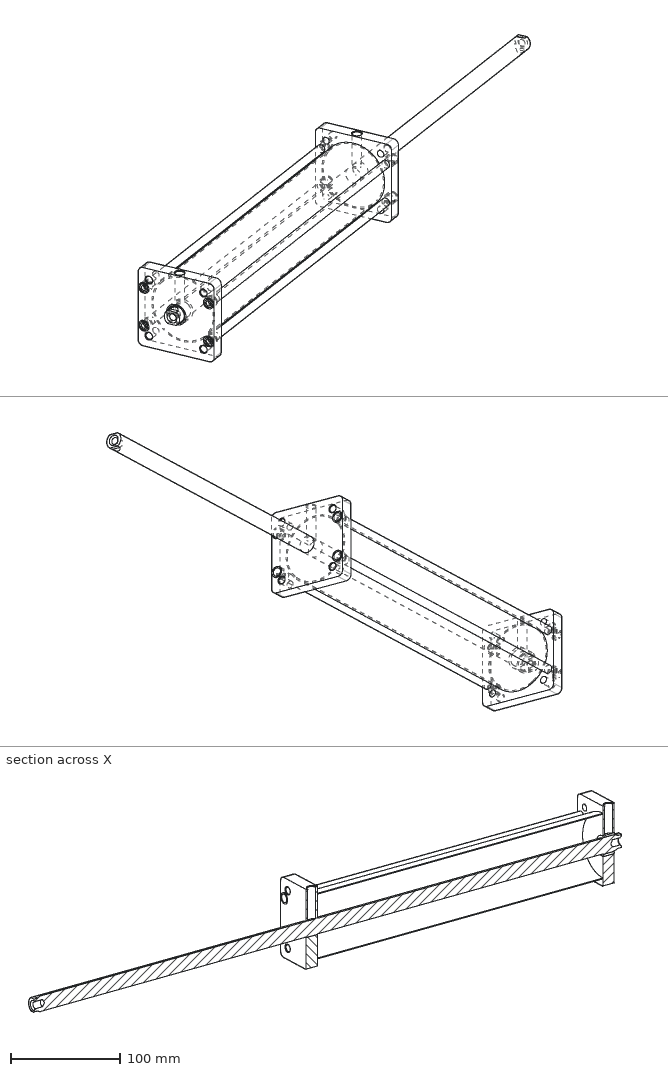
import cadquery as cq
import math


total_length = 665.0
front_stub = 8.0
plate_thickness = 13.0
barrel_length = 322.5

plate_side = 80.0
plate_corner_radius = 5.0
mount_hole_diameter = 6.5
mount_hole_mouth = 8.0
mount_hole_offset = 28.5
port_diameter = 8.5
port_mouth = 10.0

barrel_diameter = 66.0
bore_diameter = 63.0

tie_rod_diameter = 8.0
tie_rod_x = 34.0
tie_rod_z = 19.0
tie_counterbore_diameter = 10.5
tie_counterbore_depth = 6.5
tie_socket_diameter = 4.9
tie_socket_depth = 4.0

rod_diameter = 16.0
across_flats = 13.0
flat_length = 4.0
flat_runout = 3.0
rod_hole_diameter = 6.5
rod_hole_mouth = 10.0
rod_hole_depth = 10.0
bushing_diameter = 20.5
bushing_mouth = 18.0

drill_tip_angle = 118.0

front_plate_y = front_stub
barrel_y = front_plate_y + plate_thickness
rear_plate_y = barrel_y + barrel_length
rear_face_y = rear_plate_y + plate_thickness
tie_rod_length = rear_face_y - front_plate_y


def four_places(x, z):
    """(x, z) and its mirror images about the X and Z axes."""
    return [(side * x, level * z) for side in (-1, 1) for level in (-1, 1)]


tie_rod_places = four_places(tie_rod_x, tie_rod_z)
mount_hole_places = four_places(mount_hole_offset, mount_hole_offset)


def rod_along_y(diameter, start_y, length, x=0.0, z=0.0):
    start = cq.Vector(x, start_y, z)
    return cq.Workplane(cq.Solid.makeCylinder(diameter / 2, length, start, cq.Vector(0, 1, 0)))


def drilled_hole(diameter, mouth, depth, tip_angle=None):
    """Cutter from the origin toward +Y: a 45 degree mouth, a straight wall and, if asked, a drill tip."""
    radius = diameter / 2
    mouth_depth = (mouth - diameter) / 2
    outline = [(0, 0), (mouth / 2, 0)]
    if mouth_depth > 0:
        outline.append((radius, mouth_depth))
    outline.append((radius, depth))
    tip_length = radius / math.tan(math.radians(tip_angle / 2)) if tip_angle else 0
    outline.append((0, depth + tip_length))
    return cq.Workplane("XY").polyline(outline).close().revolve(360, (0, 0, 0), (0, 1, 0))


def end_plate(center_hole_diameter):
    """End plate with its outer face at y = 0 and its body toward +Y."""
    plate = cq.Workplane("XY").box(plate_side, plate_thickness, plate_side, centered=(True, False, True))
    plate = plate.edges("|Y").fillet(plate_corner_radius)
    plate = plate.cut(rod_along_y(center_hole_diameter, 0, plate_thickness))

    mount_hole = drilled_hole(mount_hole_diameter, mount_hole_mouth, plate_thickness)
    for x, z in mount_hole_places:
        plate = plate.cut(mount_hole.translate((x, 0, z)))

    for x, z in tie_rod_places:
        plate = plate.cut(rod_along_y(tie_rod_diameter, 0, plate_thickness, x, z))
        plate = plate.cut(rod_along_y(tie_counterbore_diameter, 0, tie_counterbore_depth, x, z))

    port = drilled_hole(port_diameter, port_mouth, plate_side / 2).rotate((0, 0, 0), (1, 0, 0), -90)
    return plate.cut(port.translate((0, plate_thickness / 2, plate_side / 2)))


def make_bushing():
    bushing = rod_along_y(bushing_diameter, 0, plate_thickness)
    bushing = bushing.cut(drilled_hole(rod_diameter, bushing_mouth, plate_thickness))
    return bushing.translate((0, front_plate_y, 0))


def make_barrel():
    barrel = rod_along_y(barrel_diameter, barrel_y, barrel_length)
    return barrel.cut(rod_along_y(bore_diameter, barrel_y, barrel_length))


def rod_end_cut():
    """Cutter for the rod tip at y = 0: a center hole and two wrench flats sloping out to the surface."""
    cutter = drilled_hole(rod_hole_diameter, rod_hole_mouth, rod_hole_depth, drill_tip_angle)
    flat_z = across_flats / 2
    rod_radius = rod_diameter / 2
    runout_end = flat_length + flat_runout
    outline = [(0, flat_z), (flat_length, flat_z), (runout_end, rod_radius), (0, rod_radius)]
    flat = cq.Workplane("YZ").polyline(outline).close().extrude(rod_radius, both=True)
    return cutter.add(flat).add(flat.mirror("XY")).combine()


def make_piston_rod():
    rod = rod_along_y(rod_diameter, 0, total_length)
    front_cut = rod_end_cut()
    rear_cut = front_cut.mirror("XZ").translate((0, total_length, 0))
    return rod.cut(front_cut).cut(rear_cut)


def make_tie_rod(x, z):
    tie_rod = rod_along_y(tie_rod_diameter, 0, tie_rod_length)
    socket = drilled_hole(tie_socket_diameter, tie_socket_diameter, tie_socket_depth, drill_tip_angle)
    return tie_rod.cut(socket).translate((x, front_plate_y, z))


front_plate = end_plate(bushing_diameter).translate((0, front_plate_y, 0))
rear_plate = end_plate(rod_diameter).mirror("XZ").translate((0, rear_face_y, 0))
bushing = make_bushing()
barrel = make_barrel()
piston_rod = make_piston_rod()
tie_rods = [make_tie_rod(x, z).val() for x, z in tie_rod_places]

result = cq.Compound.makeCompound(
    [front_plate.val(), rear_plate.val(), bushing.val(), barrel.val(), piston_rod.val(), *tie_rods]
)